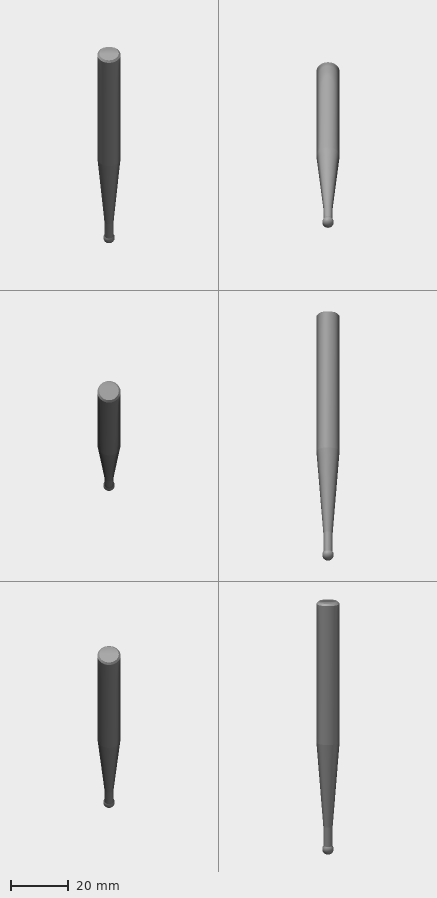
import cadquery as cq
import math

total_length = 90.0
shank_diameter = 8.0
shank_length = 50.0
neck_diameter = 3.2
neck_top = 10.0
ball_diameter = 4.0
tip_height = 3.3
end_chamfer = 0.6

shank_radius = shank_diameter / 2
neck_radius = neck_diameter / 2
ball_radius = ball_diameter / 2
shank_bottom = total_length - shank_length
ball_top = ball_radius + math.sqrt(ball_radius**2 - neck_radius**2)


def revolve_about_axis(half_profile):
    """Close a half profile along the Z axis and turn it into a solid."""
    return half_profile.close().revolve(360, (0, 0), (0, 1))


def make_holder():
    """Chamfered cylindrical shank, tapering down to a slim cylindrical neck."""
    half_profile = (
        cq.Workplane("XZ")
        .moveTo(0, tip_height)
        .lineTo(neck_radius, tip_height)
        .lineTo(neck_radius, neck_top)
        .lineTo(shank_radius, shank_bottom)
        .lineTo(shank_radius, total_length - end_chamfer)
        .lineTo(shank_radius - end_chamfer, total_length)
        .lineTo(0, total_length)
    )
    return revolve_about_axis(half_profile)


def make_ball_tip():
    """Ball with a short collar that butts against the end of the neck."""
    half_profile = (
        cq.Workplane("XZ")
        .threePointArc((ball_radius, ball_radius), (neck_radius, ball_top))
        .lineTo(neck_radius, tip_height)
        .lineTo(0, tip_height)
    )
    return revolve_about_axis(half_profile)


holder = make_holder()
ball_tip = make_ball_tip()

result = cq.Compound.makeCompound([holder.val(), ball_tip.val()])